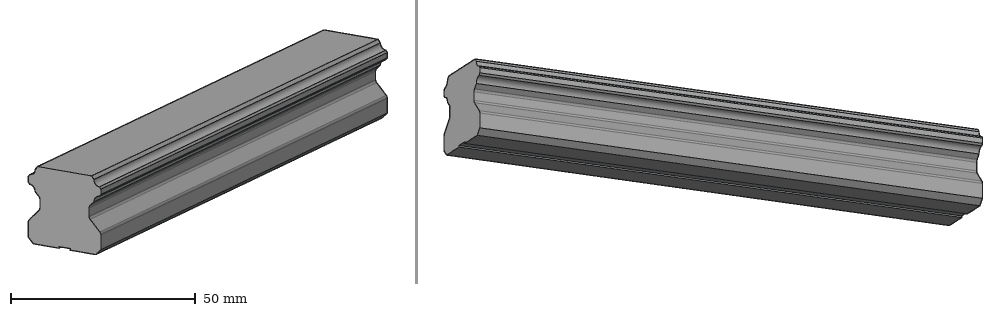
import cadquery as cq

rail_length = 150.0
rail_width = 23.0
rail_height = 22.0
half_width = rail_width / 2

top_half_width = 8.5
top_chamfer_width = 0.8
top_chamfer_height = 0.9
groove_radius = 1.8
lip_top = 19.4
lip_bottom = 16.6
lip_chamfer_width = 0.5
lip_chamfer_height = 0.6
groove_end_x = 9.3
lower_groove_end_z = 14.8

waist_half_width = 7.8
waist_top = 13.4
waist_bottom = 10.0

corner_radius = 1.0

shoulder_height = 6.3
foot_chamfer = 1.6

relief_width = 3.6
relief_depth = 0.5


def half_profile():
    """Right half of the cross-section, closed along the symmetry plane."""
    groove_start_x = top_half_width + top_chamfer_width
    groove_start_z = rail_height - top_chamfer_height
    lip_edge_x = half_width - lip_chamfer_width
    return (
        cq.Workplane("XZ")
        .moveTo(0, rail_height)
        .lineTo(top_half_width, rail_height)
        .lineTo(groove_start_x, groove_start_z)
        .radiusArc((lip_edge_x, lip_top), -groove_radius)
        .lineTo(half_width, lip_top - lip_chamfer_height)
        .lineTo(half_width, lip_bottom + lip_chamfer_height)
        .lineTo(lip_edge_x, lip_bottom)
        .radiusArc((groove_end_x, lower_groove_end_z), -groove_radius)
        .lineTo(waist_half_width, waist_top)
        .lineTo(waist_half_width, waist_bottom)
        .lineTo(half_width, shoulder_height)
        .lineTo(half_width, foot_chamfer)
        .lineTo(half_width - foot_chamfer, 0)
        .lineTo(relief_width / 2, 0)
        .lineTo(relief_width / 2, relief_depth)
        .lineTo(0, relief_depth)
        .close()
    )


half_rail = half_profile().extrude(rail_length / 2, both=True)
rounded_corners = [
    (waist_half_width, waist_top),
    (waist_half_width, waist_bottom),
    (half_width, shoulder_height),
]
for corner_x, corner_z in rounded_corners:
    corner_edge = cq.selectors.NearestToPointSelector((corner_x, 0, corner_z))
    half_rail = half_rail.edges(corner_edge).fillet(corner_radius)

result = half_rail.union(half_rail.mirror("YZ")).clean()